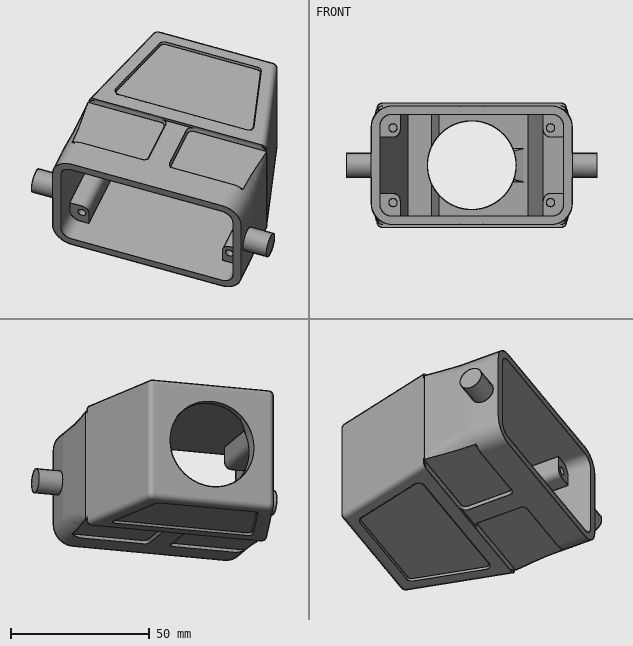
import cadquery as cq
import math

body_length = 72.0
mouth_width = 72.7
mouth_height = 42.8
mouth_band_length = 11.1
mouth_corner_radius = 7.5

hood_start = 32.0
collar_length = 0.7
neck_end = hood_start - collar_length
neck_end_width = 69.2
neck_end_radius = 2.0
neck_middle = 20.2
neck_middle_radius = 5.8

hood_front_width = 68.5
hood_height = 45.0
hood_lean = math.tan(math.radians(15))
hood_edge_radius = 2.1
hood_length = body_length - hood_start
hood_back_width = hood_front_width - 2 * hood_length * hood_lean

pin_diameter = 8.8
pin_span = 90.6
pin_y = 6.4

panel_depth = 1.22
panel_rib_width = 8.0
panel_rib_draft = 0.5
panel_hood_draft = 0.4
panel_corner_radius = 1.8

recess_start = 37.1
recess_end = 67.1
recess_start_width = 54.5
recess_depth = 0.9
recess_draft = 22
recess_corner_radius = 2.0

cavity_width = 66.3
cavity_height = 36.8
cavity_corner_radius = 4.3
ledge_inner_x = 25.8
end_wall_y = 69.2
end_wall_left_x = -23.1
end_wall_right_x = 20.4
step_left_x = -14.6
step_right_x = -11.9
step_height = step_right_x - step_left_x
ledge_y = end_wall_y - step_height - (cavity_width / 2 + end_wall_left_x) / hood_lean
cable_hole_diameter = 32.0

wedge_outer_x = 18.75
wedge_width = 12.1
wedge_slope = math.tan(math.radians(15))
wedge_side_slope = math.tan(math.radians(45))

post_face_y = 9.2
post_inner_x = ledge_inner_x
post_inner_z = 10.15
post_radius = 2.7
screw_x = 28.45
screw_z = 13.5
screw_diameter = 3.0
screw_depth = 10.9


def section(y):
    """Workplane across the body at depth y; its extrusions run towards +Y when negative."""
    return cq.Workplane("XZ", origin=(0, y, 0))


def rounded_block(y_start, y_end, width, height, radius):
    block = section(y_start).rect(width, height).extrude(y_start - y_end)
    return block.edges("|Y").fillet(radius)


def rounded_outline(y, width, height, radius):
    block = rounded_block(y, y + 0.9, width, height, radius)
    return block.faces("<Y").wires().val()


def make_neck():
    flare = (mouth_width - neck_end_width) / (neck_end - mouth_band_length)
    middle_width = mouth_width - flare * (neck_middle - mouth_band_length)
    start = rounded_outline(mouth_band_length, mouth_width, mouth_height, mouth_corner_radius)
    middle = rounded_outline(neck_middle, middle_width, mouth_height, neck_middle_radius)
    end = rounded_outline(neck_end, neck_end_width, mouth_height, neck_end_radius)
    rim = rounded_outline(hood_start, hood_front_width, mouth_height, neck_end_radius)
    flared = cq.Workplane(cq.Solid.makeLoft([start, middle, end]))
    collar = cq.Workplane(cq.Solid.makeLoft([end, rim], True))
    return flared.union(collar)


def make_hood():
    outline = [
        (-hood_front_width / 2, hood_start),
        (hood_front_width / 2, hood_start),
        (hood_back_width / 2, body_length),
        (-hood_back_width / 2, body_length),
    ]
    hood = cq.Workplane("XY").polyline(outline).close().extrude(hood_height / 2, both=True)
    return hood.edges("not <Y").fillet(hood_edge_radius)


def make_pins():
    """One bar through the body; the cavity later leaves only its two ends."""
    pin_start = cq.Workplane("YZ", origin=(-pin_span / 2, pin_y, 0))
    return pin_start.circle(pin_diameter / 2).extrude(pin_span)


def make_panel():
    """Cutter for the panel at +X on the +Z side; its walls at the rib and at the hood are drafted."""
    outer_x = mouth_width / 2 + 2 * panel_corner_radius

    def outline(z, rib_inset, hood_inset):
        inner_x = panel_rib_width / 2 + rib_inset
        width = outer_x - inner_x
        length = hood_start - hood_inset - mouth_band_length
        block = cq.Workplane("XY", origin=(inner_x + width / 2, mouth_band_length + length / 2, z))
        block = block.rect(width, length).extrude(0.9).edges("|Z").fillet(panel_corner_radius)
        return block.faces("<Z").wires().val()

    floor = outline(mouth_height / 2 - panel_depth, panel_rib_draft, panel_hood_draft)
    top = outline(mouth_height / 2, 0, 0)
    return cq.Workplane(cq.Solid.makeLoft([floor, top], True))


def make_recess():
    """Cutter for the panel on the +Z side of the hood; its walls draw in towards the floor."""
    end_width = recess_start_width - 2 * (recess_end - recess_start) * hood_lean
    outline = [
        (-recess_start_width / 2, recess_start),
        (recess_start_width / 2, recess_start),
        (end_width / 2, recess_end),
        (-end_width / 2, recess_end),
    ]
    sketch = cq.Sketch().polygon(outline + outline[:1]).vertices().fillet(recess_corner_radius)
    top = cq.Workplane("XY", origin=(0, 0, hood_height / 2))
    return top.placeSketch(sketch).extrude(-recess_depth, taper=recess_draft)


def make_posts():
    """Posts with one rounded edge, each with a blind screw hole."""
    length = end_wall_y - post_face_y
    post_width = cavity_width / 2 - post_inner_x
    post_height = cavity_height / 2 - post_inner_z
    posts = cq.Workplane("XY")
    for side_x in (-1, 1):
        for side_z in (-1, 1):
            post = (
                section(post_face_y)
                .center(side_x * (post_inner_x + post_width / 2), side_z * (post_inner_z + post_height / 2))
                .rect(post_width, post_height)
                .extrude(-length)
                .edges("|Y")
                .edges(cq.selectors.NearestToPointSelector((0, end_wall_y, 0)))
                .fillet(post_radius)
            )
            screw_hole = (
                section(post_face_y)
                .center(side_x * screw_x, side_z * screw_z)
                .circle(screw_diameter / 2)
                .extrude(-screw_depth)
            )
            posts = posts.union(post.cut(screw_hole))
    return posts


def make_wedge():
    """Ramp on the end wall that rises towards the cable hole, with sloping sides."""
    rise = wedge_outer_x * wedge_slope
    ramp_outline = [(wedge_outer_x, end_wall_y), (0, end_wall_y), (0, end_wall_y - rise)]
    ramp = cq.Workplane("XY").polyline(ramp_outline).close().extrude(wedge_width / 2, both=True)
    base = wedge_width / 2
    crest = base - rise * wedge_side_slope
    end_outline = [
        (end_wall_y, -base),
        (end_wall_y, base),
        (end_wall_y - rise, crest),
        (end_wall_y - rise, -crest),
    ]
    sides = cq.Workplane("YZ").polyline(end_outline).close().extrude(wedge_outer_x)
    return ramp.intersect(sides)


def make_cavity():
    mouth_part = rounded_block(0, ledge_y, cavity_width, cavity_height, cavity_corner_radius)
    right_lean_start = end_wall_y - (ledge_inner_x - end_wall_right_x) / hood_lean
    outline = [
        (-cavity_width / 2, ledge_y),
        (end_wall_left_x, end_wall_y - step_height),
        (step_left_x, end_wall_y - step_height),
        (step_right_x, end_wall_y),
        (end_wall_right_x, end_wall_y),
        (ledge_inner_x, right_lean_start),
        (ledge_inner_x, ledge_y),
    ]
    hood_part = cq.Workplane("XY").polyline(outline).close().extrude(cavity_height / 2, both=True)
    return mouth_part.union(hood_part).cut(make_posts()).cut(make_wedge())


mouth_band = rounded_block(0, mouth_band_length, mouth_width, mouth_height, mouth_corner_radius)
body = mouth_band.union(make_neck()).union(make_hood()).union(make_pins())

panel = make_panel()
panel_pair = panel.union(panel.mirror("YZ"))
recess = make_recess()
for cutter in (panel_pair, recess):
    body = body.cut(cutter).cut(cutter.mirror("XY"))

cable_hole = section(hood_start).circle(cable_hole_diameter / 2).extrude(-hood_length)
result = body.cut(make_cavity()).cut(cable_hole)